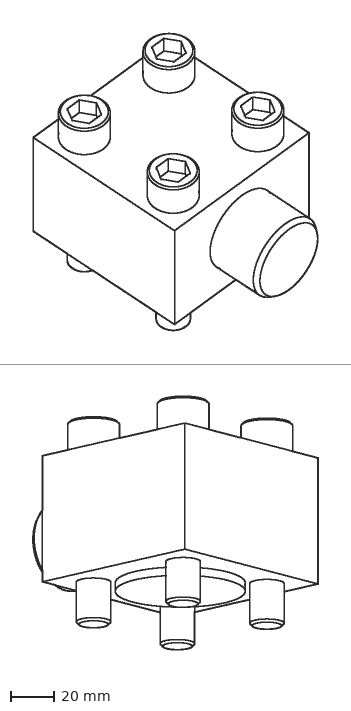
import cadquery as cq
import math

block_side = 90.0
block_height = 60.0

overall_length = 120.0
stub_length = overall_length - block_side
stub_diameter = 42.4
stub_end_diameter = 38.8
stub_bevel_length = 2.5
stub_axis_height = block_height / 2

boss_diameter = 60.0
boss_height = 4.0

bolt_circle_diameter = 80.0
bolt_offset = bolt_circle_diameter / 2 / math.sqrt(2)
head_diameter = 24.0
head_height = 16.0
head_chamfer = 1.0
shank_diameter = 16.0
shank_protrusion = 20.0
shank_chamfer = 1.2
socket_across_flats = 14.0
socket_across_corners = socket_across_flats / math.cos(math.pi / 6)
socket_depth = 8.0


def make_stub():
    """Solid of revolution about X with a bevelled outer end."""
    radius = stub_diameter / 2
    block_face = block_side / 2
    end_face = block_face + stub_length
    profile = (
        cq.Workplane("XY")
        .moveTo(0, 0)
        .lineTo(end_face, 0)
        .lineTo(end_face, stub_end_diameter / 2)
        .lineTo(end_face - stub_bevel_length, radius)
        .lineTo(0, radius)
        .close()
    )
    stub = profile.revolve(360, (0, 0, 0), (1, 0, 0))
    return stub.translate((0, 0, stub_axis_height))


def make_screw():
    """Screw on the Z axis, its head seated on top of the block."""
    head = (
        cq.Workplane("XY", origin=(0, 0, block_height))
        .circle(head_diameter / 2)
        .extrude(head_height)
        .faces(">Z")
        .chamfer(head_chamfer)
    )
    shank = (
        cq.Workplane("XY", origin=(0, 0, -shank_protrusion))
        .circle(shank_diameter / 2)
        .extrude(shank_protrusion + block_height)
        .faces("<Z")
        .chamfer(shank_chamfer)
    )
    socket = (
        cq.Workplane("XY", origin=(0, 0, block_height + head_height - socket_depth))
        .transformed(rotate=(0, 0, 90))
        .polygon(6, socket_across_corners)
        .extrude(socket_depth)
    )
    return head.union(shank).cut(socket)


block = cq.Workplane("XY").box(block_side, block_side, block_height, centered=(True, True, False))
boss = cq.Workplane("XY").circle(boss_diameter / 2).extrude(-boss_height)

result = block.union(boss).union(make_stub())
screw = make_screw()
for x_side in (-1, 1):
    for y_side in (-1, 1):
        result = result.union(screw.translate((x_side * bolt_offset, y_side * bolt_offset, 0)))